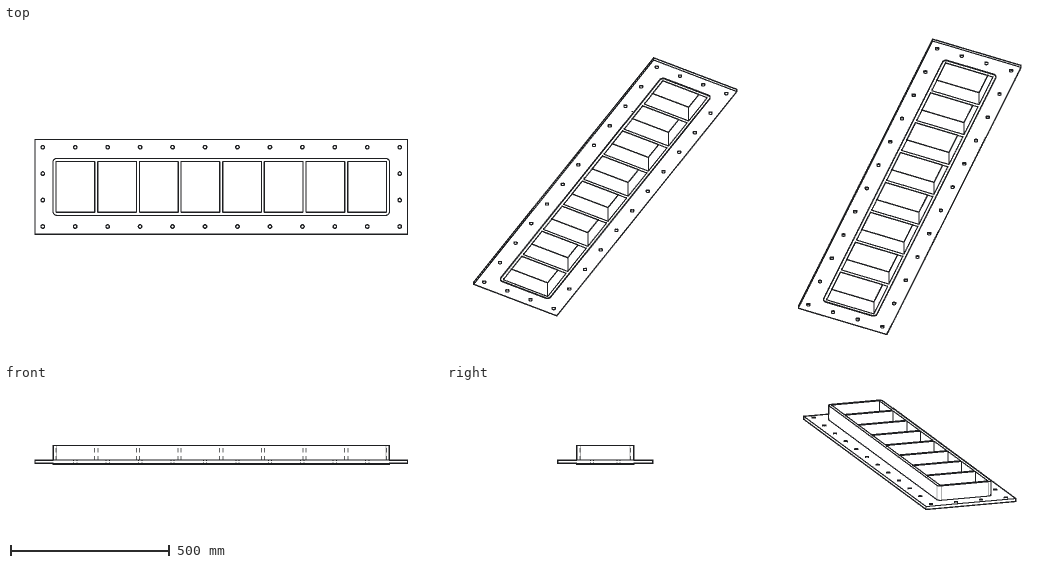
import cadquery as cq

plate_length = 1174.0
plate_width = 299.0
plate_thickness = 10.0

frame_length = 1060.0
frame_width = 180.0
frame_height = 60.0
frame_corner_radius = 12.0
lip_below_plate = 3.0

wall_thickness = 10.0
rib_thickness = 10.0
window_count = 8
window_row_length = frame_length - 2 * wall_thickness
window_length = (window_row_length - (window_count - 1) * rib_thickness) / window_count
window_width = frame_width - 2 * wall_thickness
window_pitch = window_length + rib_thickness

hole_diameter = 10.5
hole_inset = 25.0
holes_along_length = 12
holes_along_width = 4
hole_span_x = plate_length - 2 * hole_inset
hole_span_y = plate_width - 2 * hole_inset


def bolt_hole_centres():
    """Evenly spaced points on a rectangle, with each corner listed once."""
    pitch_x = hole_span_x / (holes_along_length - 1)
    pitch_y = hole_span_y / (holes_along_width - 1)
    centres = []
    for side in (-1, 1):
        for i in range(holes_along_length):
            centres.append((-hole_span_x / 2 + i * pitch_x, side * hole_span_y / 2))
        for j in range(1, holes_along_width - 1):
            centres.append((side * hole_span_x / 2, -hole_span_y / 2 + j * pitch_y))
    return centres


def make_plate():
    plate = cq.Workplane("XY").workplane(offset=lip_below_plate)
    plate = plate.rect(plate_length, plate_width).extrude(plate_thickness)
    return plate.faces(">Z").workplane().pushPoints(bolt_hole_centres()).hole(hole_diameter)


def make_frame():
    frame = cq.Workplane("XY").rect(frame_length, frame_width).extrude(frame_height)
    return frame.edges("|Z").fillet(frame_corner_radius)


def make_windows():
    windows = cq.Workplane("XY").rarray(window_pitch, 12, window_count, 1)
    return windows.rect(window_length, window_width).extrude(frame_height)


result = make_plate().union(make_frame()).cut(make_windows())